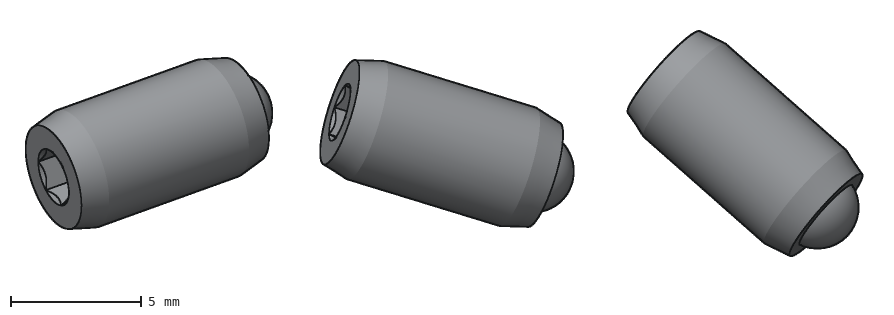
import cadquery as cq
import math

overall_length = 9.52
body_diameter = 4.76
body_length = 8.38

taper_angle = 15.0
end_diameter = 4.19

socket_corner_diameter = 2.285
socket_depth = 2.38
lead_in_angle = 45.0

ball_diameter = 3.18

body_radius = body_diameter / 2
end_radius = end_diameter / 2
taper_length = (body_radius - end_radius) / math.tan(math.radians(taper_angle))
socket_corner_radius = socket_corner_diameter / 2
socket_flat_radius = socket_corner_radius * math.cos(math.pi / 6)
ball_radius = ball_diameter / 2
ball_center_y = overall_length - ball_radius


def revolve_about_y(profile):
    """Turn a closed profile in the XY plane into a solid round the Y axis."""
    return profile.revolve(360, (0, 0, 0), (0, 1, 0))


def make_ball():
    return cq.Workplane("XY").sphere(ball_radius).translate((0, ball_center_y, 0))


def make_blank():
    """Cylinder with a taper at both ends."""
    return revolve_about_y(
        cq.Workplane("XY")
        .moveTo(0, 0)
        .lineTo(end_radius, 0)
        .lineTo(body_radius, taper_length)
        .lineTo(body_radius, body_length - taper_length)
        .lineTo(end_radius, body_length)
        .lineTo(0, body_length)
        .close()
    )


def make_socket():
    """Hexagonal recess with two corners on the X axis."""
    return (
        cq.Workplane("XZ")
        .polygon(6, socket_corner_diameter)
        .extrude(-socket_depth)
    )


def make_lead_in():
    """Cone that starts at the socket corners and ends on the flats."""
    depth = (socket_corner_radius - socket_flat_radius) * math.tan(math.radians(lead_in_angle))
    return revolve_about_y(
        cq.Workplane("XY")
        .moveTo(0, 0)
        .lineTo(socket_corner_radius, 0)
        .lineTo(socket_flat_radius, depth)
        .lineTo(0, depth)
        .close()
    )


def make_body():
    """Screw body with a drive socket and a spherical seat for the ball."""
    return make_blank().cut(make_socket()).cut(make_lead_in()).cut(make_ball())


body = make_body()
ball = make_ball()

result = cq.Compound.makeCompound([body.val(), ball.val()])